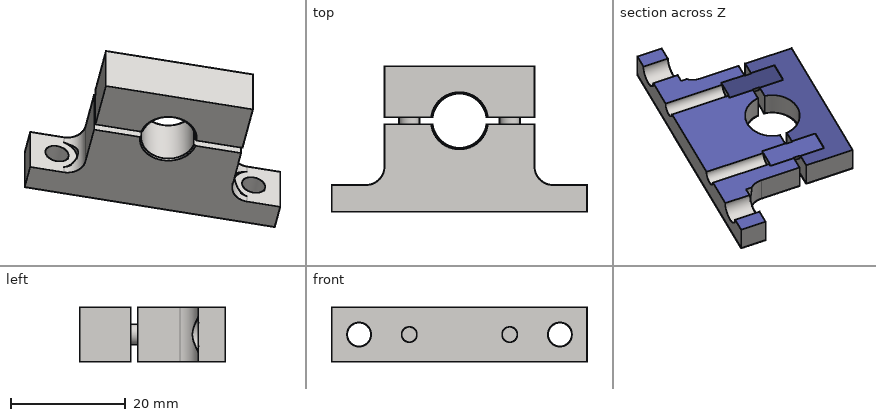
import cadquery as cq

foot_length = 44.45
total_depth = 25.4
thickness = 9.5

block_width = 26.15
foot_depth = 4.7
fillet_radius = 3.2
gap = 1.2
bore_y = 15.85
bore_radius = 4.7
bore_chamfer = 0.25
base_top = bore_y - gap / 2
cap_bottom = bore_y + gap / 2

mount_spacing = 34.95
mount_diameter = 4.15
seat_diameter = 7.1

pin_spacing = 17.45
pin_diameter = 3.6
pin_insertion = 4.45
access_diameter = 2.65
pin_start = base_top - pin_insertion
pin_end = cap_bottom + pin_insertion


def y_cylinder(x, diameter, y_start, y_end):
    """Cylinder along Y at mid thickness."""
    return (
        cq.Workplane("XZ", origin=(x, y_start, 0))
        .circle(diameter / 2)
        .extrude(y_start - y_end)
    )


def make_block(width, y_start, y_end):
    """Block centred on X and Z, between two Y positions."""
    return cq.Workplane("XY").box(width, y_end - y_start, thickness).translate((0, (y_start + y_end) / 2, 0))


def make_bore():
    """Shaft bore volume, widened by a chamfer at both ends."""
    half = thickness / 2
    mouth_radius = bore_radius + bore_chamfer
    return (
        cq.Workplane("XZ", origin=(0, bore_y, 0))
        .moveTo(0, -half)
        .lineTo(mouth_radius, -half)
        .lineTo(bore_radius, bore_chamfer - half)
        .lineTo(bore_radius, half - bore_chamfer)
        .lineTo(mouth_radius, half)
        .lineTo(0, half)
        .close()
        .revolve(360, (0, 0, 0), (0, 1, 0))
    )


def make_pin(x):
    """Plain pin bridging the gap between base and cap."""
    return y_cylinder(x, pin_diameter, pin_start, pin_end)


def make_base():
    """Foot and lower clamp half, with bore, mounting holes and pin holes."""
    half_foot = foot_length / 2
    half_block = block_width / 2
    base = (
        cq.Workplane("XY", origin=(0, 0, -thickness / 2))
        .moveTo(-half_foot, 0)
        .lineTo(half_foot, 0)
        .lineTo(half_foot, foot_depth)
        .lineTo(half_block + fillet_radius, foot_depth)
        .radiusArc((half_block, foot_depth + fillet_radius), fillet_radius)
        .lineTo(half_block, base_top)
        .lineTo(-half_block, base_top)
        .lineTo(-half_block, foot_depth + fillet_radius)
        .radiusArc((-half_block - fillet_radius, foot_depth), fillet_radius)
        .lineTo(-half_foot, foot_depth)
        .close()
        .extrude(thickness)
        .cut(make_bore())
    )
    for side in (-1, 1):
        mount_x = side * mount_spacing / 2
        base = base.cut(y_cylinder(mount_x, mount_diameter, 0, foot_depth))
        base = base.cut(y_cylinder(mount_x, seat_diameter, foot_depth, base_top))
        pin_x = side * pin_spacing / 2
        base = base.cut(y_cylinder(pin_x, access_diameter, 0, pin_start))
        base = base.cut(make_pin(pin_x))
    return base


def make_cap():
    """Upper clamp half, with bore and blind pin holes."""
    cap = make_block(block_width, cap_bottom, total_depth).cut(make_bore())
    for side in (-1, 1):
        cap = cap.cut(make_pin(side * pin_spacing / 2))
    return cap


base = make_base()
cap = make_cap()
pins = [make_pin(side * pin_spacing / 2) for side in (-1, 1)]

result = cq.Compound.makeCompound([base.val(), cap.val(), *[pin.val() for pin in pins]])